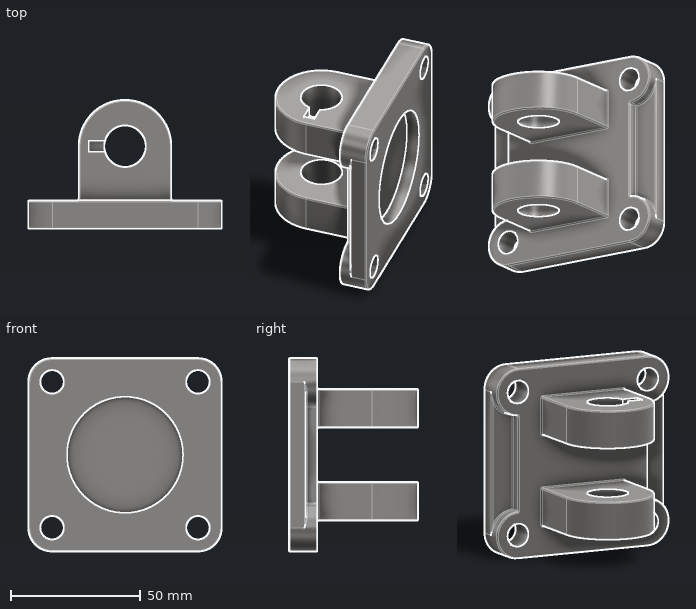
import cadquery as cq
import math

edge_fillet = 0.5

selection_margin = 0.1
cutter_overrun = 5.0

plate_side = 75.0
plate_thickness = 11.0
bolt_spacing = 56.5
bolt_hole_diameter = 9.0
bolt_offset = bolt_spacing / 2
corner_radius = (plate_side - bolt_spacing) / 2
spigot_recess_diameter = 45.0
spigot_recess_depth = 5.0

relief_floor_y = 6.5

lug_gap = 21.0
lug_thickness = 15.0
lug_width = 36.0
lug_radius = lug_width / 2
lug_inner_z = lug_gap / 2
lug_outer_z = lug_inner_z + lug_thickness
pin_axis_y = 32.0
pin_diameter = 16.0

key_width = 4.3
key_reach = 14.0
key_depth = 4.0


def make_relief():
    """Cutter for the -X side: its ends follow the corner lobes, its floor rolls over to the side face."""
    wall_x = -bolt_offset
    side_x = -plate_side / 2
    clear_x = side_x - cutter_overrun
    clear_y = plate_thickness + cutter_overrun
    rim_y = relief_floor_y - edge_fillet
    arc_centre_x = side_x + edge_fillet
    arc_reach = edge_fillet * math.sqrt(0.5)
    block = (
        cq.Workplane("XY", origin=(0, 0, -bolt_offset))
        .moveTo(wall_x, clear_y)
        .lineTo(wall_x, relief_floor_y)
        .lineTo(arc_centre_x, relief_floor_y)
        .threePointArc((arc_centre_x - arc_reach, rim_y + arc_reach), (side_x, rim_y))
        .lineTo(clear_x, rim_y)
        .lineTo(clear_x, clear_y)
        .close()
        .extrude(bolt_spacing)
    )
    lobes = (
        cq.Workplane("XZ")
        .pushPoints([(wall_x, -bolt_offset), (wall_x, bolt_offset)])
        .circle(corner_radius)
        .extrude(-clear_y)
    )
    cutter = block.cut(lobes).faces(">X").edges("|Y").fillet(edge_fillet)
    return cutter.faces(">X").edges("<Y").fillet(edge_fillet)


def make_plate():
    """Square plate with round corners, relieved at the rear of both X sides."""
    plate = (
        cq.Workplane("XY")
        .box(plate_side, plate_thickness, plate_side, centered=(True, False, True))
        .edges("|Y")
        .fillet(corner_radius)
    )
    relief = make_relief()
    plate = plate.cut(relief).cut(relief.mirror("YZ"))
    return plate.faces("<Y or >Y").edges().fillet(edge_fillet)


def make_lug(bottom_z):
    """Round-ended lug with its lower face at bottom_z and its rims rounded."""
    lug = (
        cq.Workplane("XY", origin=(0, 0, bottom_z))
        .moveTo(-lug_radius, plate_thickness)
        .lineTo(-lug_radius, pin_axis_y)
        .threePointArc((0, pin_axis_y + lug_radius), (lug_radius, pin_axis_y))
        .lineTo(lug_radius, plate_thickness)
        .close()
        .extrude(lug_thickness)
    )
    return lug.faces("<Z or >Z").edges("not <Y").fillet(edge_fillet)


def add_lugs(part):
    """Join both lugs to the plate and fillet them where they meet its rear face."""
    for bottom_z in (lug_inner_z, -lug_outer_z):
        part = part.union(make_lug(bottom_z))
    half_x = lug_radius + selection_margin
    half_z = lug_outer_z + selection_margin
    foot = cq.selectors.BoxSelector(
        (-half_x, plate_thickness - selection_margin, -half_z),
        (half_x, plate_thickness + selection_margin, half_z),
    )
    return part.edges(foot).fillet(edge_fillet)


def cut_bolt_holes(part):
    """Four through holes on a square, concentric with the plate corners."""
    holes = (
        cq.Workplane("XZ")
        .rect(bolt_spacing, bolt_spacing, forConstruction=True)
        .vertices()
        .circle(bolt_hole_diameter / 2)
        .extrude(-plate_thickness)
    )
    return part.cut(holes)


def cut_spigot_recess(part):
    """Shallow round recess in the middle of the front face."""
    recess = cq.Workplane("XZ").circle(spigot_recess_diameter / 2).extrude(-spigot_recess_depth)
    return part.cut(recess)


def cut_pin_hole(part):
    """Pin hole along Z through both lugs."""
    hole = (
        cq.Workplane("XY")
        .center(0, pin_axis_y)
        .circle(pin_diameter / 2)
        .extrude(lug_outer_z, both=True)
    )
    return part.cut(hole)


def cut_key_slot(part):
    """Slot in the top of the upper lug, running from the pin axis toward -X."""
    slot = (
        cq.Workplane("XY", origin=(-key_reach / 2, pin_axis_y, lug_outer_z))
        .rect(key_reach, key_width)
        .extrude(-key_depth)
    )
    return part.cut(slot)


part = make_plate()
part = add_lugs(part)
part = cut_bolt_holes(part)
part = cut_spigot_recess(part)
part = cut_pin_hole(part)
result = cut_key_slot(part)